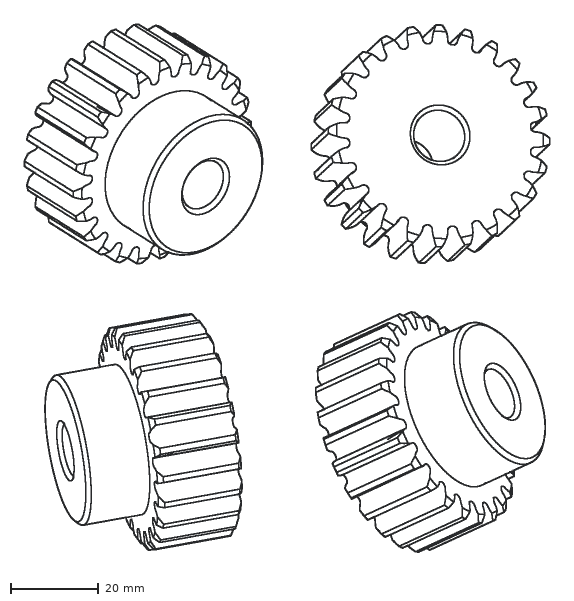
import cadquery as cq
import math


tooth_count = 24
outer_diameter = 52.0
face_width = 20.0
pressure_angle = math.radians(20)
involute_steps = 5

total_length = 35.0
hub_diameter = 35.0
bore_diameter = 12.0

module = outer_diameter / (tooth_count + 2)
outer_radius = outer_diameter / 2
pitch_radius = module * tooth_count / 2
base_radius = pitch_radius * math.cos(pressure_angle)
tooth_pitch = 2 * math.pi / tooth_count

edge_chamfer = module / 2
tip_bevel_angle = math.radians(60)
tip_chamfer_depth = edge_chamfer * math.tan(tip_bevel_angle)

base_half_angle = tooth_pitch / 4 + math.tan(pressure_angle) - pressure_angle

root_radius = base_radius - base_radius * math.sin(tooth_pitch / 2 - base_half_angle)


def polar(radius, angle):
    """Point in the YZ plane at an angle from +Y."""
    return (radius * math.cos(angle), radius * math.sin(angle))


def flank(center_angle, side):
    """Involute points from base circle to tip; side is -1 or +1 for the two flanks of a tooth."""
    tip_roll = math.sqrt((outer_radius / base_radius) ** 2 - 1)
    points = []
    for step in range(involute_steps + 1):
        roll = tip_roll * step / involute_steps
        radius = base_radius * math.sqrt(1 + roll**2)
        half_angle = base_half_angle - (roll - math.atan(roll))
        points.append(polar(radius, center_angle + side * half_angle))
    return points


def gear_outline():
    """Closed tooth outline: rising flank, tip arc, falling flank, round root."""
    outline = cq.Workplane("YZ").moveTo(*flank(0, -1)[0])
    for tooth in range(tooth_count):
        center = tooth * tooth_pitch
        rising = flank(center, -1)
        falling = flank(center, 1)[::-1]
        next_start = flank(center + tooth_pitch, -1)[0]
        root_bottom = polar(root_radius, center + tooth_pitch / 2)
        outline = outline.spline(rising[1:], includeCurrent=True)
        outline = outline.threePointArc(polar(outer_radius, center), falling[0])
        outline = outline.spline(falling[1:], includeCurrent=True)
        outline = outline.threePointArc(root_bottom, next_start)
    return outline.close()


def chamfered_blank():
    """Turned disc whose cone-shaped ends bevel the tooth tips."""
    bevel_radius = outer_radius - tip_chamfer_depth
    return (
        cq.Workplane("XY")
        .lineTo(0, bevel_radius)
        .lineTo(edge_chamfer, outer_radius)
        .lineTo(face_width - edge_chamfer, outer_radius)
        .lineTo(face_width, bevel_radius)
        .lineTo(face_width, 0)
        .close()
        .revolve(360, (0, 0, 0), (1, 0, 0))
    )


def hub():
    """Cylinder the full length of the part, chamfered on its free end."""
    cylinder = cq.Workplane("YZ").circle(hub_diameter / 2).extrude(total_length)
    return cylinder.faces(">X").edges().chamfer(edge_chamfer)


def bore():
    """Through hole with a chamfer at both ends."""
    hole = bore_diameter / 2
    mouth = hole + edge_chamfer
    return (
        cq.Workplane("XY")
        .lineTo(0, mouth)
        .lineTo(edge_chamfer, hole)
        .lineTo(total_length - edge_chamfer, hole)
        .lineTo(total_length, mouth)
        .lineTo(total_length, 0)
        .close()
        .revolve(360, (0, 0, 0), (1, 0, 0))
    )


gear = gear_outline().extrude(face_width).intersect(chamfered_blank())
result = gear.union(hub()).cut(bore())